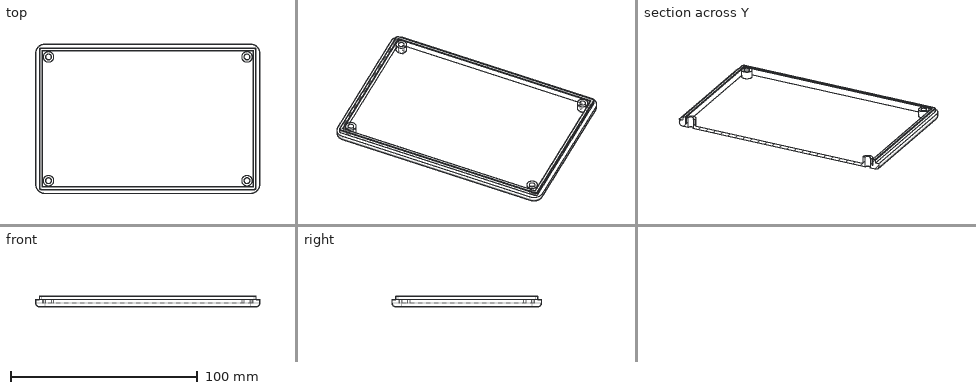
import cadquery as cq

length = 120.0
width = 80.0
height = 5.9
flange_height = 3.9
corner_radius = 5.0
bottom_fillet = 2.0

lip_inset = 2.0
lip_corner_radius = 1.1
lip_wall = 1.8
lip_chamfer = 0.3

floor_thickness = 2.0

boss_inset = 6.9
boss_diameter = 5.6
hole_diameter = 3.0


def make_flange():
    plate = cq.Workplane("XY").box(length, width, flange_height, centered=(True, True, False))
    return plate.edges("|Z").fillet(corner_radius).faces("<Z").edges().fillet(bottom_fillet)


def make_lip():
    lip = (
        cq.Workplane("XY")
        .workplane(offset=floor_thickness)
        .rect(length - 2 * lip_inset, width - 2 * lip_inset)
        .extrude(height - floor_thickness)
    )
    return lip.edges("|Z").fillet(lip_corner_radius)


def make_recess():
    recess_inset = lip_inset + lip_wall
    return (
        cq.Workplane("XY")
        .workplane(offset=floor_thickness)
        .rect(length - 2 * recess_inset, width - 2 * recess_inset)
        .extrude(height - floor_thickness)
    )


def at_boss_centers(start_height):
    return (
        cq.Workplane("XY")
        .workplane(offset=start_height)
        .rect(length - 2 * boss_inset, width - 2 * boss_inset, forConstruction=True)
        .vertices()
    )


tray = make_flange().union(make_lip()).cut(make_recess())
tray = tray.faces(">Z").edges().chamfer(lip_chamfer)

bosses = at_boss_centers(floor_thickness).circle(boss_diameter / 2).extrude(height - floor_thickness)
holes = at_boss_centers(0).circle(hole_diameter / 2).extrude(height)

result = tray.union(bosses).cut(holes)